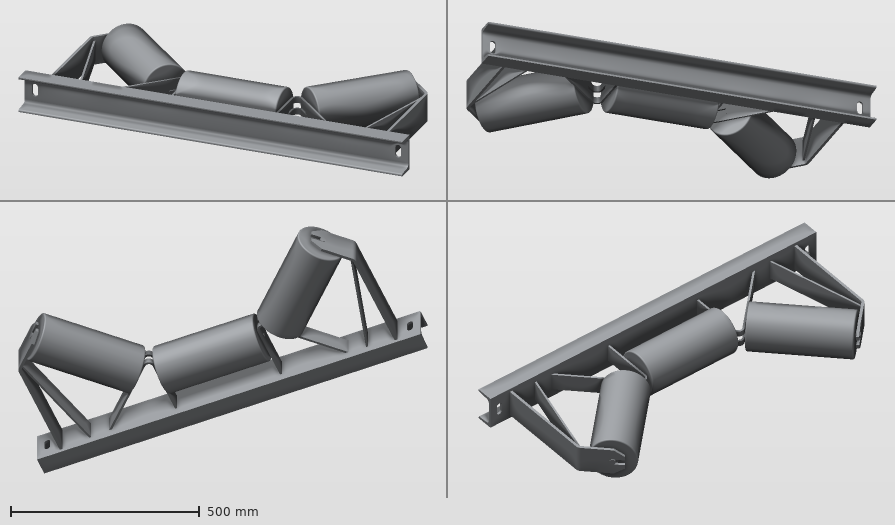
import cadquery as cq
import math

channel_length = 1100.0
channel_depth = 51.0
channel_height = 100.0
web_thickness = 7.0
flange_thickness = 8.5
flange_taper = 0.08
root_radius = 10.5
toe_radius = 4.5

mount_slot_inset = 30.0
mount_slot_width = 16.0
mount_slot_length = 36.0

trough_angle = 45.0
roller_diameter = 133.0
roller_length = 289.0
roller_edge_radius = 4.0
middle_roller_y = 166.0
side_roller_x = 308.0
side_roller_y = 296.0

collar_radius = 15.0
neck_radius = 8.2
shaft_end_length = 1.0

strap_thickness = 6.0
strap_width = 51.0
strap_bend_radius = 11.0
middle_strap_distance = 147.0
side_strap_distance = 148.0

plate_thickness = 8.0
plate_width = 80.0
plate_bend_radius = 11.0
plate_distance = 148.0
post_x = 476.0
tip_reach = 33.0
tip_chamfer_along = 30.0
tip_chamfer_across = 20.0

brace_thickness = 5.0
brace_width = 58.0
brace_foot_x = 397.0
brace_head_x = 474.0
brace_head_y = 346.0

slope = math.radians(trough_angle)


def extrude_centred(outline, width):
    """Extrude a closed XY outline equally to both sides of Z = 0."""
    return outline.extrude(width / 2, both=True)


def along_side_roller(along, across=0.0):
    """Point in the right-hand side roller's frame: along its axis, then square to it, upwards."""
    x = side_roller_x + along * math.cos(slope) - across * math.sin(slope)
    y = side_roller_y + along * math.sin(slope) + across * math.cos(slope)
    return (x, y)


def onto_side_roller(body):
    """Move a body built along X at the origin onto the right-hand side roller's axis."""
    return body.rotate((0, 0, 0), (0, 0, 1), trough_angle).translate((side_roller_x, side_roller_y, 0))


def sloping_face_y(along, x):
    """Height at x of a sloping bracket face lying the given distance along the side roller's axis."""
    face_x, face_y = along_side_roller(along)
    return face_y - (x - face_x) / math.tan(slope)


def sloping_face_x(along, y):
    """X at height y of a sloping bracket face."""
    face_x, face_y = along_side_roller(along)
    return face_x - (y - face_y) * math.tan(slope)


def round_bend(bracket, outer_corner, inner_corner, inner_radius, thickness):
    """Round both sides of a bracket's bend about one centre."""
    for corner, radius in ((outer_corner, inner_radius + thickness), (inner_corner, inner_radius)):
        edge = cq.selectors.NearestToPointSelector((*corner, 0))
        bracket = bracket.edges("|Z").edges(edge).fillet(radius)
    return bracket


def bracket_slot(length):
    """Cutter for a round-bottomed slot: it holds a shaft along X and opens towards +Y."""
    cut_depth = 4 * plate_thickness
    bottom = x_cylinder(neck_radius, cut_depth / 2, cut_depth / 2)
    mouth = cq.Workplane("XY").box(cut_depth, length, 2 * neck_radius, centered=(True, False, True))
    return bottom.union(mouth)


def make_channel():
    half_height = channel_height / 2
    half_reach = channel_depth / 2
    root_z = half_height - flange_thickness - flange_taper * (half_reach - web_thickness)
    toe_z = half_height - flange_thickness + flange_taper * half_reach
    web_y = channel_depth - web_thickness
    profile = [
        (channel_depth, -half_height), (0, -half_height), (0, -toe_z), (web_y, -root_z),
        (web_y, root_z), (0, toe_z), (0, half_height), (channel_depth, half_height),
    ]
    channel = cq.Workplane("YZ").polyline(profile).close().extrude(channel_length / 2, both=True)
    for side in (-1, 1):
        root = cq.selectors.NearestToPointSelector((0, web_y, side * root_z))
        toe = cq.selectors.NearestToPointSelector((0, 0, side * toe_z))
        channel = channel.edges("|X").edges(root).fillet(root_radius)
        channel = channel.edges("|X").edges(toe).fillet(toe_radius)

    slot_x = channel_length / 2 - mount_slot_inset
    slots = (
        cq.Workplane("XZ").pushPoints([(-slot_x, 0), (slot_x, 0)])
        .slot2D(mount_slot_length, mount_slot_width, 90).extrude(-channel_depth)
    )
    return channel.cut(slots)


def x_cylinder(radius, left, right):
    """Cylinder on the X axis reaching the given distances to the left and right of the origin."""
    return cq.Workplane("YZ", origin=(-left, 0, 0)).circle(radius).extrude(left + right)


def make_roller(left_end, right_end):
    """Roller and shaft along X; each end gives the bracket's near face and the shaft's reach."""
    left_face, left_reach = left_end
    right_face, right_reach = right_end
    roller = x_cylinder(roller_diameter / 2, roller_length / 2, roller_length / 2)
    roller = roller.faces("<X or >X").edges().fillet(roller_edge_radius)
    collar = x_cylinder(collar_radius, left_face, right_face)
    shaft = x_cylinder(neck_radius, left_reach, right_reach)
    return roller.union(collar).union(shaft)


def make_inner_bracket():
    post_near = middle_strap_distance
    post_far = post_near + strap_thickness
    slant_near = -side_strap_distance
    slant_far = slant_near - strap_thickness
    outer_corner = (post_near, sloping_face_y(slant_near, post_near))
    inner_corner = (post_far, sloping_face_y(slant_far, post_far))
    outline = cq.Workplane("XY").polyline([
        (post_near, channel_depth), outer_corner, (sloping_face_x(slant_near, channel_depth), channel_depth),
        (sloping_face_x(slant_far, channel_depth), channel_depth), inner_corner, (post_far, channel_depth),
    ]).close()
    bracket = extrude_centred(outline, strap_width)
    bracket = round_bend(bracket, outer_corner, inner_corner, strap_bend_radius, strap_thickness)

    slot = bracket_slot(outer_corner[1] - middle_roller_y)
    bracket = bracket.cut(slot.translate(((post_near + post_far) / 2, middle_roller_y, 0)))
    return bracket.cut(onto_side_roller(slot.translate(((slant_near + slant_far) / 2, 0, 0))))


def make_outer_bracket():
    near, far = plate_distance, plate_distance + plate_thickness
    post_far_x = post_x + plate_thickness
    outer_corner = (post_far_x, sloping_face_y(far, post_far_x))
    inner_corner = (post_x, sloping_face_y(near, post_x))
    outline = cq.Workplane("XY").polyline([
        (post_x, channel_depth), inner_corner, along_side_roller(near, tip_reach),
        along_side_roller(far, tip_reach), outer_corner, (post_far_x, channel_depth),
    ]).close()
    bracket = extrude_centred(outline, plate_width)
    bracket = round_bend(bracket, outer_corner, inner_corner, plate_bend_radius, plate_thickness)

    middle = (near + far) / 2
    bracket = bracket.cut(onto_side_roller(bracket_slot(2 * tip_reach).translate((middle, 0, 0))))
    for side in (-1, 1):
        corner = cq.Workplane("YZ", origin=(near - plate_thickness, 0, 0)).polyline([
            (tip_reach, side * plate_width / 2),
            (tip_reach - tip_chamfer_along, side * plate_width / 2),
            (tip_reach, side * (plate_width / 2 - tip_chamfer_across)),
        ]).close().extrude(3 * plate_thickness)
        bracket = bracket.cut(onto_side_roller(corner))
    return bracket


def make_brace(outer_bracket):
    """Slanting flat bar, trimmed where it meets the outer bracket."""
    rise = brace_head_y - channel_depth
    run = brace_head_x - brace_foot_x
    half_foot = brace_thickness / 2 * math.hypot(rise, run) / rise
    outline = cq.Workplane("XY").polyline([
        (brace_foot_x - half_foot, channel_depth), (brace_foot_x + half_foot, channel_depth),
        (brace_head_x + half_foot, brace_head_y), (brace_head_x - half_foot, brace_head_y),
    ]).close()
    return extrude_centred(outline, brace_width).cut(outer_bracket)


channel = make_channel()

middle_end = (middle_strap_distance, middle_strap_distance + strap_thickness)
lower_end = (side_strap_distance, side_strap_distance + strap_thickness)
upper_end = (plate_distance, plate_distance + plate_thickness + shaft_end_length)
middle_roller = make_roller(middle_end, middle_end).translate((0, middle_roller_y, 0))
side_roller = onto_side_roller(make_roller(lower_end, upper_end))
inner_bracket = make_inner_bracket()
outer_bracket = make_outer_bracket()
brace = make_brace(outer_bracket)

bodies = [channel.solids().val(), middle_roller.solids().val()]
for body in (side_roller, inner_bracket, outer_bracket, brace):
    right_hand = body.solids().val()
    left_hand = right_hand.mirror("YZ")
    bodies.extend([right_hand, left_hand])

result = cq.Compound.makeCompound(bodies)